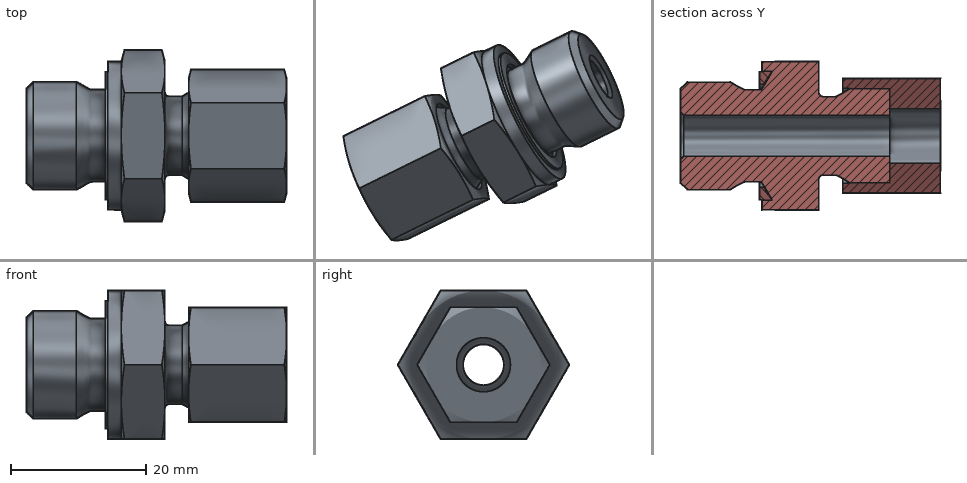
import cadquery as cq
import math


port_chamfer = 1.05
port_thread_end = 7.4
port_undercut_start = 9.15
port_undercut_flat = 9.75
seal_front = 11.7
flange_front = 12.05
hex_front = 14.05
hex_back = 20.5
nut_thread_relief = 23.05
nut_front = 24.0
stud_end = 31.0
nut_back = 38.5

port_face_radius = 7.0
port_thread_radius = 8.0
port_neck_radius = 6.85
flange_radius = 11.0
stud_neck_radius = 5.85
stud_thread_radius = 7.0
bore_radius = 3.0
bore_chamfer = 0.5

runout_angle = math.radians(30)
neck_fillet = 0.6
blend_length = port_undercut_flat - port_undercut_start
blend_radius = blend_length / math.sin(runout_angle)
blend_start_radius = port_neck_radius + blend_radius * (1 - math.cos(runout_angle))
blend_mid_x = port_undercut_flat - blend_radius * math.sin(runout_angle / 2)
blend_mid_radius = port_neck_radius + blend_radius * (1 - math.cos(runout_angle / 2))
relief_length = (stud_thread_radius - stud_neck_radius) / math.tan(runout_angle)

seal_inner_radius = 7.6
seal_outer_radius = 9.5
groove_start = 11.95
groove_slope = math.tan(math.radians(30))

body_hex_flats = 22.0
nut_hex_flats = 17.0
hex_chamfer_slope = math.tan(math.radians(15))

tube_hole_radius = 4.0


def groove_floor(radius):
    """Axial position of the groove floor at a radius."""
    return groove_start + (radius - port_neck_radius) * groove_slope


def turned(profile):
    """Revolve an (axial, radial) profile about the X axis."""
    return profile.close().revolve(360, (0, 0, 0), (1, 0, 0))


def cylinder(radius, start, end):
    return cq.Workplane("YZ", origin=(start, 0, 0)).circle(radius).extrude(end - start)


def chamfered_hexagon(flats, start, end):
    """Hexagonal prism along X, corners on +Y and -Y, both ends turned to a shallow cone."""
    flat_radius = flats / 2
    corner_radius = flat_radius / math.cos(math.pi / 6)
    chamfer = (corner_radius - flat_radius) * hex_chamfer_slope
    prism = (
        cq.Workplane("YZ", origin=(start, 0, 0))
        .polygon(6, 2 * corner_radius)
        .extrude(end - start)
    )
    envelope = turned(
        cq.Workplane("XY")
        .moveTo(start, 0)
        .lineTo(start, flat_radius)
        .lineTo(start + chamfer, corner_radius)
        .lineTo(end - chamfer, corner_radius)
        .lineTo(end, flat_radius)
        .lineTo(end, 0)
    )
    return prism.intersect(envelope)


def make_body():
    port_end = turned(
        cq.Workplane("XY")
        .lineTo(0, port_face_radius)
        .lineTo(port_chamfer, port_thread_radius)
        .lineTo(port_thread_end, port_thread_radius)
        .lineTo(port_undercut_start, blend_start_radius)
        .threePointArc((blend_mid_x, blend_mid_radius), (port_undercut_flat, port_neck_radius))
        .lineTo(groove_start, port_neck_radius)
        .lineTo(groove_floor(seal_outer_radius), seal_outer_radius)
        .lineTo(flange_front, seal_outer_radius)
        .lineTo(flange_front, flange_radius)
        .lineTo(hex_front, flange_radius)
        .lineTo(hex_front, 0)
    )
    fillet_mid = neck_fillet * (1 - math.sqrt(0.5))
    stud = turned(
        cq.Workplane("XY")
        .moveTo(hex_back, 0)
        .lineTo(hex_back, stud_neck_radius + neck_fillet)
        .threePointArc(
            (hex_back + fillet_mid, stud_neck_radius + fillet_mid),
            (hex_back + neck_fillet, stud_neck_radius),
        )
        .lineTo(nut_thread_relief, stud_neck_radius)
        .lineTo(nut_thread_relief + relief_length, stud_thread_radius)
        .lineTo(stud_end, stud_thread_radius)
        .lineTo(stud_end, 0)
    )
    bore = turned(
        cq.Workplane("XY")
        .lineTo(0, bore_radius + bore_chamfer)
        .lineTo(bore_chamfer, bore_radius)
        .lineTo(stud_end, bore_radius)
        .lineTo(stud_end, 0)
    )
    hexagon = chamfered_hexagon(body_hex_flats, hex_front, hex_back)
    return port_end.union(hexagon).union(stud).cut(bore)


def make_seal_ring():
    return turned(
        cq.Workplane("XY")
        .moveTo(seal_front, seal_inner_radius)
        .lineTo(seal_front, seal_outer_radius)
        .lineTo(groove_floor(seal_outer_radius), seal_outer_radius)
        .lineTo(groove_floor(seal_inner_radius), seal_inner_radius)
    )


def make_nut():
    hexagon = chamfered_hexagon(nut_hex_flats, nut_front, nut_back)
    stud_hole = cylinder(stud_thread_radius, nut_front, stud_end)
    tube_hole = cylinder(tube_hole_radius, stud_end, nut_back)
    return hexagon.cut(stud_hole).cut(tube_hole)


body = make_body()
seal_ring = make_seal_ring()
nut = make_nut()

result = cq.Compound.makeCompound([body.val(), seal_ring.val(), nut.val()])